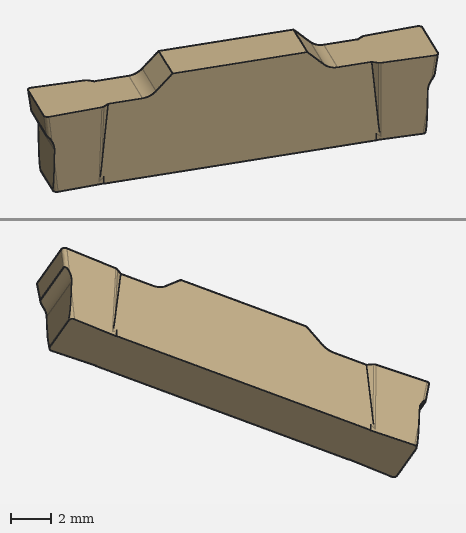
import cadquery as cq
import math


length = 20.6
cutting_width = 3.0
rake_height = 4.6
crown_height = 5.76

shank_width = 2.32
shank_half_length = 7.12
crown_flat_length = 7.04
crown_slope_angle = 45.0
crown_foot_radius = 1.0

side_relief_angle = 3.0
nose_relief_angle = 7.0
back_taper_angle = 2.3
nose_corner_radius = 0.2
shoulder_y = 7.23
neck_angle = 33.0
shoulder_radius = 0.24
head_root_half_width = 0.9

lower_end_y = 9.75
undercut_bottom = 2.52
undercut_top = 3.4
undercut_radius = 1.2

root_outer_y = 8.2

half_length = length / 2
half_shank = shank_width / 2


def tangent(angle):
    return math.tan(math.radians(angle))


def cosine(angle):
    return math.cos(math.radians(angle))


def side_x(y, depth):
    """Half width of the head at a given Y and depth below the rake face."""
    widest_y = half_length - nose_corner_radius
    inward_shift = depth * tangent(side_relief_angle) / cosine(back_taper_angle)
    return cutting_width / 2 - (widest_y - y) * tangent(back_taper_angle) - inward_shift


def nose_y(depth):
    return half_length - depth * tangent(nose_relief_angle)


def neck_x(y, depth):
    """Half width of the sloping neck wall at a given Y and depth."""
    inward_shift = depth * tangent(side_relief_angle) / cosine(neck_angle)
    return side_x(shoulder_y, 0) + (y - shoulder_y) * tangent(neck_angle) - inward_shift


def head_half_outline(depth):
    """Right half of the head in plan: nose corner, shoulder and root."""
    slope_difference = tangent(neck_angle) - tangent(back_taper_angle)
    edge_y = (side_x(0, depth) - neck_x(0, depth)) / slope_difference
    root_y = (head_root_half_width - neck_x(0, depth)) / tangent(neck_angle)
    tip_y = nose_y(depth)
    return [
        (side_x(tip_y, depth), tip_y),
        (side_x(edge_y, depth), edge_y),
        (head_root_half_width, root_y),
    ]


def root_half_outline(depth):
    """Right half of the relieved envelope where the shank enters the head."""
    return [(side_x(y, depth), y) for y in (root_outer_y, shank_half_length)]


def relieved_solid(half_outline):
    """Flat-sided solid whose plan outline shrinks from the rake face down to the base."""
    def full_outline(depth):
        right = half_outline(depth)
        left = [(-x, y) for x, y in reversed(right)]
        return right + left

    base = cq.Workplane("XY").polyline(full_outline(rake_height)).close()
    rake = base.workplane(offset=rake_height).polyline(full_outline(0)).close()
    return rake.loft(ruled=True)


def make_shank():
    crown_rise = crown_height - rake_height
    flat_y = crown_flat_length / 2
    foot_y = flat_y + crown_rise / tangent(crown_slope_angle)
    foot_length = crown_foot_radius * tangent(crown_slope_angle / 2)
    slope_end_y = foot_y - foot_length * cosine(crown_slope_angle)
    slope_end_z = rake_height + crown_foot_radius * (1 - cosine(crown_slope_angle))
    foot_end_y = foot_y + foot_length

    profile = (
        cq.Workplane("YZ")
        .moveTo(-shank_half_length, 0)
        .lineTo(shank_half_length, 0)
        .lineTo(shank_half_length, rake_height)
        .lineTo(foot_end_y, rake_height)
        .radiusArc((slope_end_y, slope_end_z), crown_foot_radius)
        .lineTo(flat_y, crown_height)
        .lineTo(-flat_y, crown_height)
        .lineTo(-slope_end_y, slope_end_z)
        .radiusArc((-foot_end_y, rake_height), crown_foot_radius)
        .lineTo(-shank_half_length, rake_height)
        .close()
    )
    return profile.extrude(half_shank, both=True)


def cut_undercut(head):
    """Hollow the end wall below the nose, down to the base."""
    top_y = lower_end_y + undercut_radius - math.sqrt(
        undercut_radius**2 - (undercut_top - undercut_bottom) ** 2
    )
    cutter = (
        cq.Workplane("YZ")
        .moveTo(lower_end_y, 0)
        .lineTo(lower_end_y, undercut_bottom)
        .radiusArc((top_y, undercut_top), undercut_radius)
        .lineTo(half_length, undercut_top)
        .lineTo(half_length, 0)
        .close()
        .extrude(cutting_width, both=True)
    )
    return head.cut(cutter)


def upright_edges_near(y):
    """Selector for the two near-upright head edges that start at this Y on the rake face."""
    middle_height = rake_height / 2
    margin = 0.4
    return cq.selectors.BoxSelector(
        (-cutting_width, y - margin, middle_height - margin),
        (cutting_width, y + margin, middle_height + margin),
    )


def make_head():
    """Head at the +Y end, with the shank stub that enters it."""
    head = relieved_solid(head_half_outline)
    head = head.edges(upright_edges_near(half_length)).fillet(nose_corner_radius)
    head = head.edges(upright_edges_near(shoulder_y)).fillet(shoulder_radius)
    head = cut_undercut(head)

    stub_length = root_outer_y - shank_half_length
    stub = cq.Workplane("XY").box(shank_width, stub_length, rake_height, centered=(True, False, False))
    stub = stub.translate((0, shank_half_length, 0)).intersect(relieved_solid(root_half_outline))
    return head.union(stub)


far_head = make_head()
near_head = far_head.mirror("XZ")
result = make_shank().union(far_head).union(near_head)